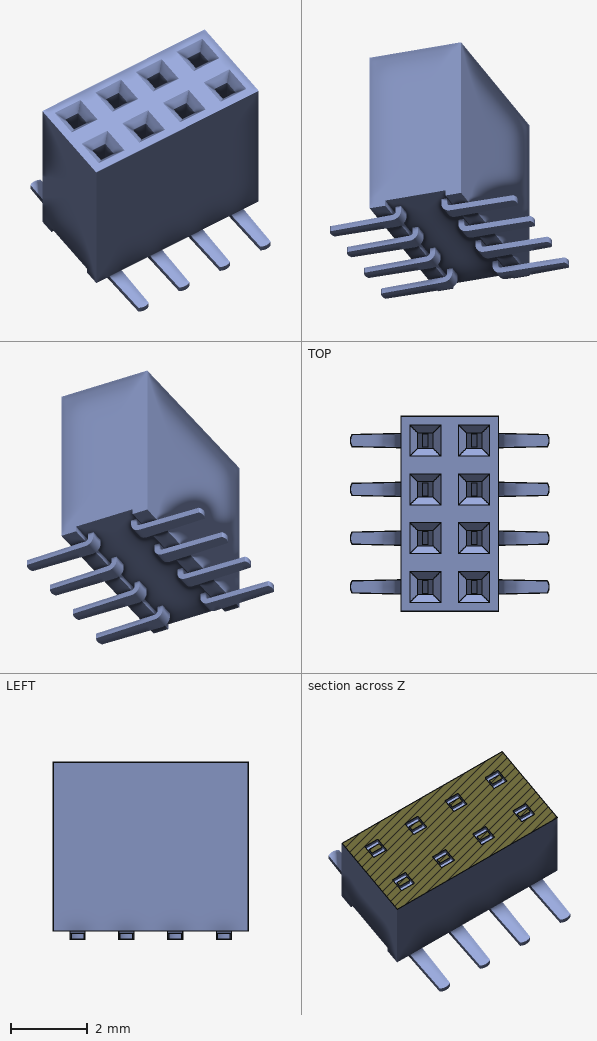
import cadquery as cq

rows = 4
columns = 2
housing_length = 5.08
pitch = housing_length / rows

overall_length = 5.18
housing_width = columns * pitch
housing_top = 4.62
housing_bottom = 0.22
channel_depth = 0.15
channel_width = 1.68

socket_mouth = 0.805
socket_bore = 0.4
funnel_depth = 0.2
socket_depth = 2.07
socket_floor = housing_top - socket_depth

lead_thickness = 0.15
lead_width = 0.4
tail_tip_width = 0.32
tip_bulge = 0.045
bend_inner_radius = 0.09
bend_outer_radius = bend_inner_radius + lead_thickness
stem_width = 0.335
stem_exposed_height = 0.26
stem_inner_x = pitch / 2 - lead_thickness / 2
stem_outer_x = stem_inner_x + lead_thickness
tail_start_x = stem_inner_x + bend_outer_radius
tail_end_x = overall_length / 2

row_positions = [(index - (rows - 1) / 2) * pitch for index in range(rows)]


def make_housing():
    """Rectangular block with a channel along its underside."""
    block = cq.Workplane("XY").workplane(offset=housing_bottom).rect(housing_width, housing_length)
    block = block.extrude(housing_top - housing_bottom)
    channel = cq.Workplane("XY").workplane(offset=housing_bottom).rect(channel_width, housing_length)
    return block.cut(channel.extrude(channel_depth))


def make_socket():
    """Tapered square mouth leading into a square blind bore, centred on the Z axis."""
    funnel = (
        cq.Workplane("XY")
        .workplane(offset=housing_top)
        .rect(socket_mouth, socket_mouth)
        .workplane(offset=-funnel_depth)
        .rect(socket_bore, socket_bore)
        .loft()
    )
    bore = cq.Workplane("XY").workplane(offset=socket_floor).rect(socket_bore, socket_bore)
    return funnel.union(bore.extrude(socket_depth - funnel_depth))


def make_lead():
    """Contact on the +X side at Y = 0: stem, bend and tapered tail with a rounded tip."""
    bend = (
        cq.Workplane("XZ")
        .moveTo(stem_inner_x, socket_floor)
        .lineTo(stem_inner_x, bend_outer_radius)
        .radiusArc((tail_start_x, 0), -bend_outer_radius)
        .lineTo(tail_start_x, lead_thickness)
        .radiusArc((stem_outer_x, bend_outer_radius), bend_inner_radius)
        .lineTo(stem_outer_x, socket_floor)
        .close()
        .extrude(lead_width / 2, both=True)
    )
    tail = (
        cq.Workplane("XY")
        .moveTo(tail_start_x, -lead_width / 2)
        .lineTo(tail_end_x - tip_bulge, -tail_tip_width / 2)
        .threePointArc((tail_end_x, 0), (tail_end_x - tip_bulge, tail_tip_width / 2))
        .lineTo(tail_start_x, lead_width / 2)
        .close()
        .extrude(lead_thickness)
    )
    stem_end = (
        cq.Workplane("XY")
        .workplane(offset=socket_floor)
        .center(pitch / 2, 0)
        .rect(lead_thickness, stem_width)
        .extrude(stem_exposed_height)
    )
    return bend.union(tail).union(stem_end)


right_lead = make_lead()
left_lead = right_lead.mirror("YZ")
socket = make_socket()

result = make_housing()
for y in row_positions:
    for x in (-pitch / 2, pitch / 2):
        result = result.cut(socket.translate((x, y, 0)))
    for lead in (left_lead, right_lead):
        result = result.union(lead.translate((0, y, 0)))